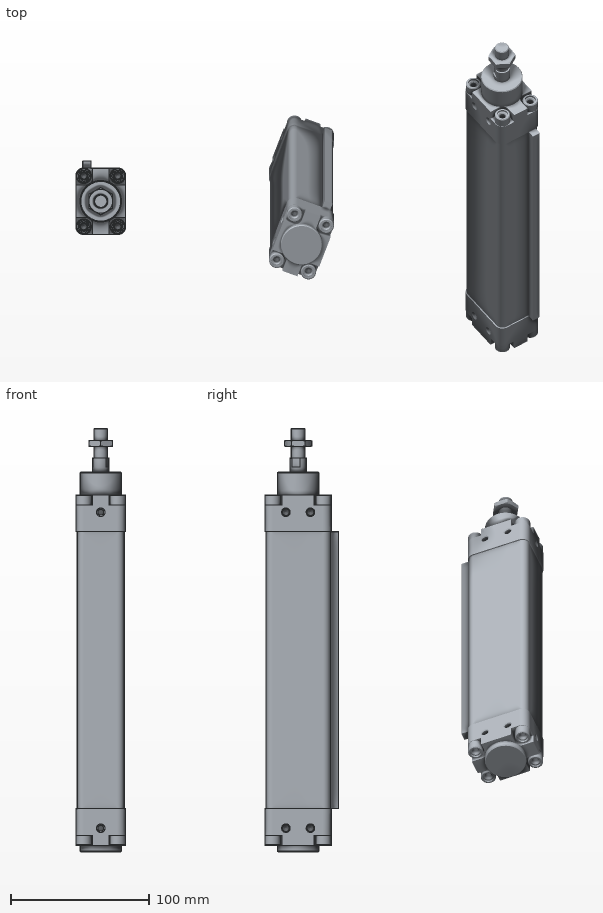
import cadquery as cq
import math


TOTAL_HEIGHT = 306.0
REAR_COLLAR_HEIGHT = 4.5
CAP_HEIGHT = 26.5
TUBE_LENGTH = 200.0
FRONT_COLLAR_HEIGHT = 16.5
ROD_SHOULDER_HEIGHT = 10.0

OVERALL_DEPTH = 53.2
CAP_WIDTH = 36.0
CAP_DEPTH = 48.0
CORNER_RADIUS = 5.8
TUBE_WIDTH = 34.3
TUBE_DEPTH = 46.5
TUBE_CORNER_RADIUS = 5.0

COLLAR_DIAMETER = 30.0
COLLAR_CHAMFER = 0.5

POCKET_DEPTH = 7.3
POCKET_INNER_X = 5.8
POCKET_INNER_Y = 11.5
POCKET_INNER_RADIUS = 4.5
SCREW_X = 12.2
SCREW_Y = 18.5
SCREW_HEAD_DIAMETER = 11.0
SCREW_HEAD_CHAMFER = 0.5
SCREW_BORE_DIAMETER = 8.0
SCREW_BORE_DEPTH = 1.5
SCREW_COUNTERSINK_DIAMETER = 6.0
SCREW_HOLE_DIAMETER = 4.5
SCREW_HOLE_DEPTH = 6.0

SIDE_HOLE_FROM_END = 12.5
SIDE_HOLE_DEPTH = 5.0
PORT_DIAMETER = 4.3
PORT_COUNTERSINK_DIAMETER = 6.0
MOUNT_HOLE_DIAMETER = 5.0
MOUNT_COUNTERSINK_DIAMETER = 6.0
MOUNT_HOLE_Y = 9.0
DRILL_POINT_ANGLE = 118.0

RAIL_CENTER_X = -10.0
RAIL_WIDTH = 6.0
RAIL_EDGE_RADIUS = 1.0
RAIL_FOOT_RADIUS = 1.0

ROD_DIAMETER = 12.0
THREAD_DIAMETER = 10.0
THREAD_CHAMFER = 0.5
WRENCH_FLAT_WIDTH = 10.0
WRENCH_FLAT_LENGTH = 6.5
WRENCH_FLAT_TURN = -18.0

NUT_ACROSS_FLATS = 17.0
NUT_HEIGHT = 4.5
NUT_BELOW_TIP = 13.2
NUT_CHAMFER_ANGLE = 20.0

RAIL_TOP_Y = OVERALL_DEPTH - CAP_DEPTH / 2
TUBE_BOTTOM = REAR_COLLAR_HEIGHT + CAP_HEIGHT
TUBE_TOP = TUBE_BOTTOM + TUBE_LENGTH
TUBE_MIDDLE = (TUBE_BOTTOM + TUBE_TOP) / 2
FRONT_CAP_TOP = TUBE_TOP + CAP_HEIGHT
FRONT_COLLAR_TOP = FRONT_CAP_TOP + FRONT_COLLAR_HEIGHT
THREAD_BOTTOM = FRONT_COLLAR_TOP + ROD_SHOULDER_HEIGHT


def rounded_block(width, depth, radius, bottom, height):
    """Upright block around the rod axis with rounded vertical edges."""
    block = cq.Workplane("XY", origin=(0, 0, bottom)).rect(width, depth).extrude(height)
    return block.edges("|Z").fillet(radius)


def drill(diameter, depth):
    """Blind hole going down -Z from the origin, with a conical drill point."""
    radius = diameter / 2
    point_length = radius / math.tan(math.radians(DRILL_POINT_ANGLE / 2))
    profile = [(0, 0), (radius, 0), (radius, -depth), (0, -depth - point_length)]
    return cq.Workplane("XZ").polyline(profile).close().revolve(360, (0, 0), (0, 1))


def corner_pocket():
    """Pocket around the +X +Y screw head, open through the end and side faces of the cap."""
    size_x = CAP_WIDTH / 2 - POCKET_INNER_X
    size_y = CAP_DEPTH / 2 - POCKET_INNER_Y
    pocket = cq.Workplane("XY", origin=(POCKET_INNER_X, POCKET_INNER_Y, FRONT_CAP_TOP))
    pocket = pocket.rect(size_x, size_y, centered=False).extrude(-POCKET_DEPTH)
    return pocket.edges("|Z and <X and <Y").fillet(POCKET_INNER_RADIUS)


def screw_head():
    """Solid screw head, flush with the end of the cap and chamfered around its rim."""
    head = cq.Workplane("XY", origin=(SCREW_X, SCREW_Y, FRONT_CAP_TOP))
    head = head.circle(SCREW_HEAD_DIAMETER / 2).extrude(-POCKET_DEPTH)
    return head.faces(">Z").chamfer(SCREW_HEAD_CHAMFER)


def countersink(outer_diameter, diameter):
    """45 degree cone narrowing down -Z from the origin."""
    cone = cq.Workplane("XY").circle(outer_diameter / 2)
    return cone.workplane(offset=(diameter - outer_diameter) / 2).circle(diameter / 2).loft()


def screw_hole():
    """Shallow bore in the screw head with a countersunk hole in its floor."""
    bore = cq.Workplane("XY").circle(SCREW_BORE_DIAMETER / 2).extrude(-SCREW_BORE_DEPTH)
    hole = drill(SCREW_HOLE_DIAMETER, SCREW_HOLE_DEPTH)
    hole = hole.union(countersink(SCREW_COUNTERSINK_DIAMETER, SCREW_HOLE_DIAMETER))
    hole = bore.union(hole.translate((0, 0, -SCREW_BORE_DEPTH)))
    return hole.translate((SCREW_X, SCREW_Y, FRONT_CAP_TOP))


def four_corners(shape):
    """The given shape together with its mirror images in the other three corners."""
    half = shape.union(shape.mirror("YZ"))
    return half.union(half.mirror("XZ"))


def port():
    """Flat-bottomed, countersunk air port in the -Y face."""
    hole = cq.Workplane("XY").circle(PORT_DIAMETER / 2).extrude(-SIDE_HOLE_DEPTH)
    hole = hole.union(countersink(PORT_COUNTERSINK_DIAMETER, PORT_DIAMETER))
    hole = hole.rotate((0, 0, 0), (1, 0, 0), 90)
    return hole.translate((0, -CAP_DEPTH / 2, FRONT_CAP_TOP - SIDE_HOLE_FROM_END))


def mount_holes():
    """Pair of mounting holes in each of the -X and +X faces."""
    hole = drill(MOUNT_HOLE_DIAMETER, SIDE_HOLE_DEPTH)
    hole = hole.union(countersink(MOUNT_COUNTERSINK_DIAMETER, MOUNT_HOLE_DIAMETER))
    hole = hole.rotate((0, 0, 0), (0, 1, 0), 90)
    hole = hole.translate((CAP_WIDTH / 2, MOUNT_HOLE_Y, FRONT_CAP_TOP - SIDE_HOLE_FROM_END))
    return four_corners(hole)


def make_front_cap():
    """Front end cap with its corner screws, air port and mounting holes."""
    cap = rounded_block(CAP_WIDTH, CAP_DEPTH, CORNER_RADIUS, TUBE_TOP, CAP_HEIGHT)
    cap = cap.cut(four_corners(corner_pocket()))
    cap = cap.union(four_corners(screw_head()))
    return cap.cut(four_corners(screw_hole())).cut(port()).cut(mount_holes())


def make_collar(bottom, height, chamfered_end):
    """Round collar around the rod axis, chamfered at its outer end."""
    collar = cq.Workplane("XY", origin=(0, 0, bottom)).circle(COLLAR_DIAMETER / 2).extrude(height)
    return collar.faces(chamfered_end).chamfer(COLLAR_CHAMFER)


def make_railed_tube():
    """Tube with the sensor rail, whose -X side has a rounded edge and a rounded foot."""
    tube = rounded_block(TUBE_WIDTH, TUBE_DEPTH, TUBE_CORNER_RADIUS, TUBE_BOTTOM, TUBE_LENGTH)
    rail = cq.Workplane("XY", origin=(RAIL_CENTER_X, RAIL_TOP_Y / 2, TUBE_MIDDLE))
    rail = rail.box(RAIL_WIDTH, RAIL_TOP_Y, TUBE_LENGTH)
    rail = rail.edges("|Z and >Y and <X").fillet(RAIL_EDGE_RADIUS)
    foot_x = RAIL_CENTER_X - RAIL_WIDTH / 2
    foot = cq.NearestToPointSelector((foot_x, TUBE_DEPTH / 2, TUBE_MIDDLE))
    return tube.union(rail).edges(foot).fillet(RAIL_FOOT_RADIUS)


def make_housing():
    """Tube with both end caps, both collars and the sensor rail, bored for the rod."""
    front_cap = make_front_cap()
    rear_cap = front_cap.mirror("XY", (0, 0, TUBE_MIDDLE))
    front_collar = make_collar(FRONT_CAP_TOP, FRONT_COLLAR_HEIGHT, ">Z")
    rear_collar = make_collar(0, REAR_COLLAR_HEIGHT, "<Z")
    body = make_railed_tube().union(front_cap).union(rear_cap)
    body = body.union(front_collar).union(rear_collar)
    rod_bore = cq.Workplane("XY", origin=(0, 0, FRONT_CAP_TOP))
    return body.cut(rod_bore.circle(ROD_DIAMETER / 2).extrude(FRONT_COLLAR_HEIGHT))


def make_rod():
    """Piston rod seated in the front collar, with two wrench flats below the thread."""
    shank = cq.Workplane("XY", origin=(0, 0, FRONT_CAP_TOP))
    shank = shank.circle(ROD_DIAMETER / 2).extrude(THREAD_BOTTOM - FRONT_CAP_TOP)
    section = cq.Workplane("XY", origin=(0, 0, THREAD_BOTTOM))
    ring = section.circle(ROD_DIAMETER).extrude(-WRENCH_FLAT_LENGTH)
    slab = section.box(WRENCH_FLAT_WIDTH, 2 * ROD_DIAMETER, 2 * WRENCH_FLAT_LENGTH)
    flats = ring.cut(slab)
    shank = shank.cut(flats.rotate((0, 0, 0), (0, 0, 1), WRENCH_FLAT_TURN))
    thread = cq.Workplane("XY", origin=(0, 0, THREAD_BOTTOM))
    thread = thread.circle(THREAD_DIAMETER / 2).extrude(TOTAL_HEIGHT - THREAD_BOTTOM)
    thread = thread.faces(">Z").chamfer(THREAD_CHAMFER)
    return shank.union(thread)


def make_nut():
    """Hexagon nut with corners on +Y and -Y, chamfered on both ends."""
    corner_radius = NUT_ACROSS_FLATS / math.sqrt(3)
    nut_bottom = TOTAL_HEIGHT - NUT_BELOW_TIP
    base = cq.Workplane("XY", origin=(0, 0, nut_bottom))
    nut = base.polygon(6, 2 * corner_radius).extrude(NUT_HEIGHT)
    nut = nut.rotate((0, 0, 0), (0, 0, 1), 90)
    flat_radius = NUT_ACROSS_FLATS / 2
    drop = (corner_radius - flat_radius) * math.tan(math.radians(NUT_CHAMFER_ANGLE))
    envelope = base.circle(corner_radius).extrude(NUT_HEIGHT)
    envelope = envelope.faces("<Z or >Z").chamfer(drop, corner_radius - flat_radius)
    return nut.intersect(envelope).cut(base.circle(THREAD_DIAMETER / 2).extrude(NUT_HEIGHT))


housing = make_housing()
rod = make_rod()
nut = make_nut()

result = cq.Compound.makeCompound([housing.val(), rod.val(), nut.val()])